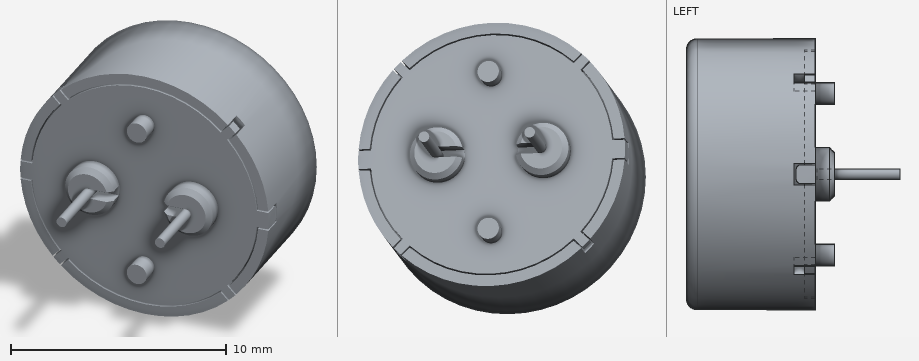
import cadquery as cq

housing_radius = 6.3
housing_depth = 6.0
back_fillet = 0.5

rim_inner_radius = 5.78
gap = 0.08
plate_radius = rim_inner_radius - gap
plate_thickness = 0.5

notch_depth = 1.0
wide_notch_width = 1.02
wide_notch_angles = (0, 180)
wide_tab_depth = 0.9
wide_tab_corner_radius = 0.2
narrow_notch_width = 0.6
narrow_notch_angles = (45, 135, 225, 315)

boss_height = 0.9
boss_radius = 1.25
boss_chamfer = 0.25
peg_radius = 0.5
peg_offset = 3.75

pin_radius = 0.25
pin_offset = 2.5
pin_tip = 3.93
slot_width = 2 * pin_radius
slot_floor = 0.08

sides = (-1, 1)


def rod(x, z, radius, y_start, y_end):
    """Cylinder along Y from y_start to the larger y_end."""
    return cq.Workplane("XZ", origin=(x, y_end, z)).circle(radius).extrude(y_end - y_start)


def turned_about_y(shape, angle):
    return shape.rotate((0, 0, 0), (0, 1, 0), angle)


def radial_bar(width, depth):
    """Bar from the middle of the housing past its +X side, starting at the terminal face."""
    length = 2 * housing_radius
    return cq.Workplane("XY").box(length, depth, width, centered=(False, False, True))


def make_drum():
    """Solid drum, rounded at the back, with the ring groove in its terminal face."""
    drum = rod(0, 0, housing_radius, 0, housing_depth).faces(">Y").edges().fillet(back_fillet)
    plate = rod(0, 0, plate_radius, 0, plate_thickness)
    groove = rod(0, 0, rim_inner_radius, 0, plate_thickness).cut(plate)
    return drum.cut(groove)


def make_notch(width):
    """Cutter that goes through the rim only, one notch wide."""
    return radial_bar(width, notch_depth).cut(rod(0, 0, rim_inner_radius, 0, notch_depth))


def trimmed_to_housing(bar):
    return bar.intersect(rod(0, 0, housing_radius, 0, notch_depth))


def make_wide_tab():
    bar = radial_bar(wide_notch_width - 2 * gap, wide_tab_depth)
    return trimmed_to_housing(bar.edges(">Y and |X").fillet(wide_tab_corner_radius))


def make_narrow_tab():
    return trimmed_to_housing(radial_bar(narrow_notch_width - 2 * gap, plate_thickness))


def add_notches_with_tabs(body, notch, tab, angles):
    for angle in angles:
        body = body.cut(turned_about_y(notch, angle))
        body = body.union(turned_about_y(tab, angle))
    return body


def make_boss(side):
    """Chamfered boss with a slot that runs from its pin towards the middle of the housing."""
    x = side * pin_offset
    boss = rod(x, 0, boss_radius, -boss_height, 0).faces("<Y").chamfer(boss_chamfer)
    slot_height = boss_height - slot_floor
    slot = cq.Workplane("XY").box(boss_radius, slot_height, slot_width)
    slot = slot.translate((x - side * boss_radius / 2, -slot_floor - slot_height / 2, 0))
    round_slot_end = rod(x, 0, slot_width / 2, -boss_height, -slot_floor)
    return boss.cut(slot).cut(round_slot_end)


def make_peg(side):
    return rod(0, side * peg_offset, peg_radius, -boss_height, 0)


def make_housing():
    body = make_drum()
    body = add_notches_with_tabs(
        body, make_notch(wide_notch_width), make_wide_tab(), wide_notch_angles
    )
    body = add_notches_with_tabs(
        body, make_notch(narrow_notch_width), make_narrow_tab(), narrow_notch_angles
    )
    for side in sides:
        body = body.union(make_boss(side)).union(make_peg(side))
    return body


def make_pin(side):
    """Round pin that stands on the slot floor and fills the round end of the slot."""
    return rod(side * pin_offset, 0, pin_radius, -pin_tip, -slot_floor)


housing = make_housing()
pins = [make_pin(side) for side in sides]

result = cq.Compound.makeCompound([housing.solids().val(), *[pin.val() for pin in pins]])